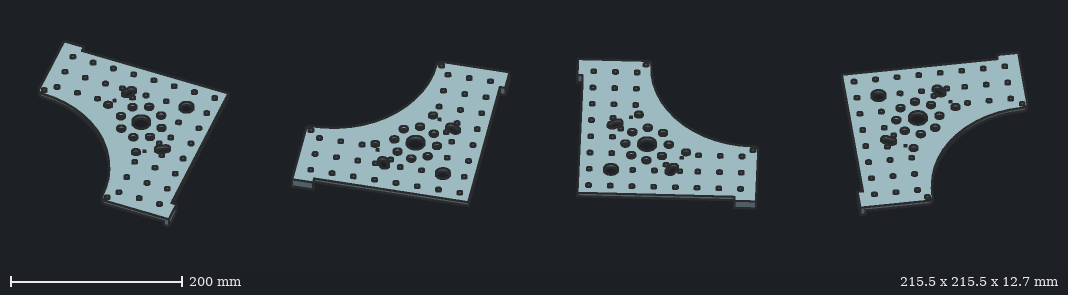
import cadquery as cq
import math

side = 215.5
height = 12.7
plate_thickness = height / 2
lip_width = height / 2
lip_length = 25.5
edge = side - lip_width
plate_bottom = height - plate_thickness

arm_start = 129.3
tip_radius = lip_width
arc_radius = arm_start - tip_radius

grid_count = 8
grid_span = 177.8
grid_pitch = grid_span / (grid_count - 1)
grid_origin = edge - grid_pitch / 2
grid_hole_diameter = 5.5
corner_hole_diameter = 16.5

corner_index = 1
second_inner_index = 2
slot_index = 4
beyond_hub_index = 5

hub_center = 130.2
hub_diameter = 21.0
ring_radius = grid_pitch
ring_count = 8
ring_hole_diameter = 5.2
countersink_diameter = 9.7
countersink_angle = 82.0

mount_x = 98.7
mount_y = 166.6
mount_angle = 60.0
mount_hole_spacing = 19.0
mount_hole_diameter = 5.5
slot_offset = 2.4
slot_width = 10.5
slot_length = 18.0

round_hole_diameter = 9.0
round_hole_at = (84.3, 141.5)
pin_hole_diameter = 2.4
pin_hole_at = (89.0, 150.2)


def swapped(point):
    """The mirror image of a point across the line x = y."""
    x, y = point
    return (y, x)


def both_sides(points):
    """The points followed by their mirror images across the line x = y."""
    return points + [swapped(point) for point in points]


def drill(body, points, diameter):
    """Cut round through holes at the given points."""
    cutter = cq.Workplane("XY").pushPoints(points).circle(diameter / 2).extrude(height)
    return body.cut(cutter)


def plate():
    """L-shaped plate with a concave quarter-round inner corner and rounded arm tips."""
    mid_arc = tip_radius + arc_radius * math.sqrt(0.5)
    mid_tip = tip_radius * (1 - math.sqrt(0.5))
    return (
        cq.Workplane("XY")
        .workplane(offset=plate_bottom)
        .moveTo(arm_start + tip_radius, 0)
        .lineTo(edge, 0)
        .lineTo(edge, edge)
        .lineTo(0, edge)
        .lineTo(0, arm_start + tip_radius)
        .threePointArc((mid_tip, arm_start + mid_tip), (tip_radius, arm_start))
        .threePointArc((mid_arc, mid_arc), (arm_start, tip_radius))
        .threePointArc((arm_start + mid_tip, mid_tip), (arm_start + tip_radius, 0))
        .close()
        .extrude(plate_thickness)
    )


def lips():
    """Full-height lips on the outer edges, one at the end of each arm."""
    along_x = cq.Workplane("XY").box(lip_length, lip_width, height, centered=False)
    along_y = cq.Workplane("XY").box(lip_width, lip_length, height, centered=False)
    return along_x.translate((0, edge, 0)).union(along_y.translate((edge, 0, 0)))


def has_grid_hole(column, row):
    """Full outer row, and inner rows that leave room for the other holes."""
    inner, outer = sorted((column, row))
    if inner == 0:
        return True
    if inner == corner_index:
        return outer not in (corner_index, slot_index)
    return inner == second_inner_index and outer >= beyond_hub_index


def grid_point(column, row):
    return (grid_origin - column * grid_pitch, grid_origin - row * grid_pitch)


def cut_grid(body):
    cells = [(column, row) for column in range(grid_count) for row in range(grid_count)]
    points = [grid_point(*cell) for cell in cells if has_grid_hole(*cell)]
    body = drill(body, points, grid_hole_diameter)
    tip_points = both_sides([(tip_radius, arm_start + tip_radius)])
    body = drill(body, tip_points, grid_hole_diameter)
    return drill(body, [grid_point(corner_index, corner_index)], corner_hole_diameter)


def cut_hub(body):
    body = drill(body, [(hub_center, hub_center)], hub_diameter)
    return (
        body.faces(">Z")
        .workplane(origin=(hub_center, hub_center, height))
        .polarArray(ring_radius, 0, 360, ring_count)
        .cskHole(ring_hole_diameter, countersink_diameter, countersink_angle)
    )


def cut_mounts(body):
    angle = math.radians(mount_angle)
    along = (math.cos(angle), math.sin(angle))
    across = (math.sin(angle), -math.cos(angle))
    reach = mount_hole_spacing / 2
    holes = [(mount_x + sign * reach * across[0], mount_y + sign * reach * across[1]) for sign in (-1, 1)]
    body = drill(body, both_sides(holes), mount_hole_diameter)

    slot_at = (mount_x + slot_offset * along[0], mount_y + slot_offset * along[1])
    for center, turn in ((slot_at, mount_angle), (swapped(slot_at), 90 - mount_angle)):
        slot = cq.Workplane("XY").center(*center).slot2D(slot_length, slot_width, turn).extrude(height)
        body = body.cut(slot)
    return body


def cut_adjusters(body):
    body = drill(body, both_sides([round_hole_at]), round_hole_diameter)
    return drill(body, both_sides([pin_hole_at]), pin_hole_diameter)


result = plate().union(lips())
result = cut_grid(result)
result = cut_hub(result)
result = cut_mounts(result)
result = cut_adjusters(result)